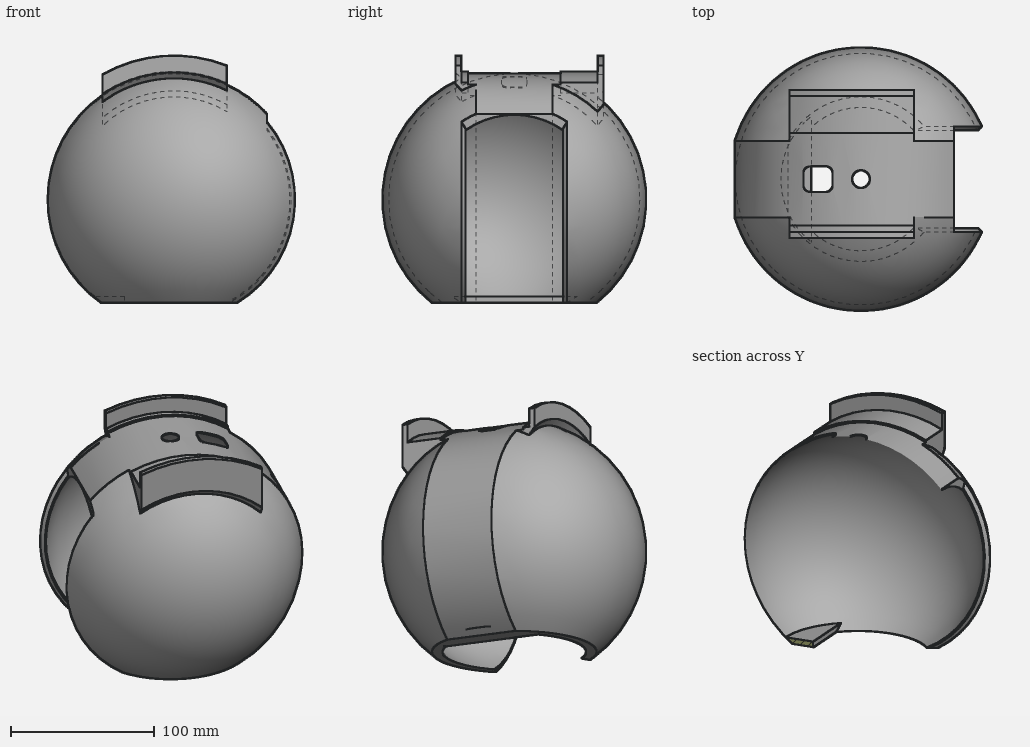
import cadquery as cq
import math

sphere_radius = 91.7
cavity_radius = 87.3
base_z = -71.7
band_half_width = 26.5
band_radius = math.sqrt(sphere_radius**2 - band_half_width**2)

crown_x_min = -49.7
crown_x_max = 36.7
saddle_half_width = 32.0
shelf_radius = 89.0
rail_radius = 100.0
rail_thickness = 4.2
left_rail_inner_y = 57.7
right_rail_inner_y = 36.7

window_x = 64.5
lower_window_x = 36.7
window_half_width = 36.7
window_bevel = 2.7

ledge_x = -34.5
ledge_thickness = sphere_radius - cavity_radius

hole_diameter = 12.1
slot_x_min = -40.0
slot_x_max = -19.8
slot_width = 17.6
slot_corner = 4.5

reach = 2 * sphere_radius


def block(x_min, x_max, z_min, z_max):
    """Box between the given X and Z limits that spans the whole part in Y."""
    size = (x_max - x_min, 2 * reach, z_max - z_min)
    return cq.Workplane("XY").box(*size, centered=(False, True, False)).translate((x_min, 0, z_min))


def revolve_about_y(radius_y_points):
    """Full turn about the Y axis of a closed (radius, y) outline."""
    return cq.Workplane("XY").polyline(radius_y_points).close().revolve(360, (0, 0), (0, 1))


def banded_sphere():
    """Ball whose middle stretch is a cylinder along Y."""
    ball = cq.Workplane("XY").sphere(sphere_radius)
    waist = cq.Workplane("XZ").circle(sphere_radius).circle(band_radius)
    return ball.cut(waist.extrude(band_half_width, both=True))


def rail(side, inner_y):
    """Shelf and upright rail on one side; the overhang below slopes at 45 degrees to the ball."""
    outer_y = inner_y + rail_thickness
    foot_radius = math.sqrt(sphere_radius**2 - inner_y**2)
    root_radius = foot_radius - rail_thickness
    profile = [
        (root_radius, saddle_half_width),
        (shelf_radius, saddle_half_width),
        (shelf_radius, inner_y),
        (rail_radius, inner_y),
        (rail_radius, outer_y),
        (foot_radius + rail_thickness, outer_y),
        (foot_radius, inner_y),
        (root_radius, inner_y),
    ]
    return revolve_about_y([(radius, side * y) for radius, y in profile])


def crown():
    saddle_outer = cq.Workplane("XZ").circle(band_radius).extrude(saddle_half_width, both=True)
    rings = saddle_outer.union(rail(1, left_rail_inner_y)).union(rail(-1, right_rail_inner_y))
    return rings.intersect(block(crown_x_min, crown_x_max, 0, reach))


def window():
    """Front opening whose side edges are bevelled through the wall."""
    rim_radius = math.sqrt(sphere_radius**2 - window_half_width**2)
    inner_half_width = window_half_width - window_bevel
    inner_radius = rim_radius - window_bevel
    profile = [
        (0, -inner_half_width),
        (inner_radius, -inner_half_width),
        (rim_radius, -window_half_width),
        (sphere_radius, -window_half_width),
        (sphere_radius, window_half_width),
        (rim_radius, window_half_width),
        (inner_radius, inner_half_width),
        (0, inner_half_width),
    ]
    upper = block(window_x, reach, 0, reach)
    lower = block(lower_window_x, reach, -reach, 0)
    return revolve_about_y(profile).intersect(upper.union(lower))


def cavity():
    """Inner ball, less the ledge left standing along the rear of the base."""
    ledge = block(-reach, ledge_x, base_z, base_z + ledge_thickness)
    return cq.Workplane("XY").sphere(cavity_radius).cut(ledge)


def crown_openings():
    hole = cq.Workplane("XY").circle(hole_diameter / 2).extrude(reach)
    slot = cq.Workplane("XY").center((slot_x_min + slot_x_max) / 2, 0)
    slot = slot.rect(slot_x_max - slot_x_min, slot_width).extrude(reach).edges("|Z").fillet(slot_corner)
    return hole.union(slot)


result = banded_sphere().union(crown())
result = result.cut(cavity())
result = result.cut(block(-reach, reach, -reach, base_z))
result = result.cut(window()).cut(crown_openings())